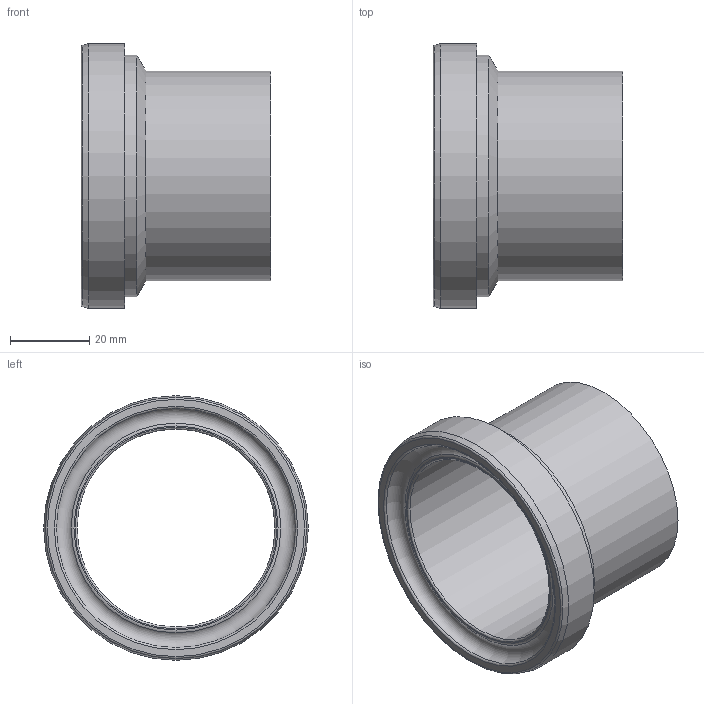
import cadquery as cq
import math

total_length = 48.0
nose_end = 2.0
flange_end = 11.1
collar_end = 14.1

flange_radius = 66.9 / 2
collar_radius = 61.0 / 2
tube_radius = 53.0 / 2
bore_radius = 50.0 / 2

shoulder_angle = math.radians(30.0)
shoulder_length = (collar_radius - tube_radius) * math.tan(shoulder_angle)
shoulder_end = collar_end + shoulder_length

edge_round = 0.5

nose_taper_angle = math.radians(15.0)
nose_round_length = edge_round * (1 - math.sin(nose_taper_angle))
nose_radius = flange_radius - (nose_end - nose_round_length) * math.tan(nose_taper_angle)
face_outer_radius = nose_radius - edge_round * math.cos(nose_taper_angle)

groove_wall_radius = 30.25
groove_bottom_round = 2.4
groove_mouth_radius = groove_wall_radius + edge_round

lip_position = 3.2
lip_outer_radius = tube_radius
lip_outer_drop = 0.2
lip_outer_round = 1.3
lip_flat_outer_radius = 25.8
lip_flat_inner_radius = bore_radius + edge_round


def make_profile():
    """Half section of the ferrule: X along the axis, Y as the radius."""
    return (
        cq.Workplane("XY")
        .moveTo(0, groove_mouth_radius)
        .lineTo(0, face_outer_radius)
        .radiusArc((nose_round_length, nose_radius), edge_round)
        .lineTo(nose_end, flange_radius)
        .lineTo(flange_end, flange_radius)
        .lineTo(flange_end, collar_radius)
        .lineTo(collar_end, collar_radius)
        .lineTo(shoulder_end, tube_radius)
        .lineTo(total_length, tube_radius)
        .lineTo(total_length, bore_radius)
        .lineTo(lip_position + edge_round, bore_radius)
        .radiusArc((lip_position, lip_flat_inner_radius), edge_round)
        .lineTo(lip_position, lip_flat_outer_radius)
        .radiusArc((lip_position + lip_outer_drop, lip_outer_radius), lip_outer_round)
        .radiusArc((edge_round, groove_wall_radius), -groove_bottom_round)
        .radiusArc((0, groove_mouth_radius), edge_round)
        .close()
    )


def make_ferrule():
    """Revolve the half section about the X axis."""
    return make_profile().revolve(360, (0, 0, 0), (1, 0, 0))


result = make_ferrule()